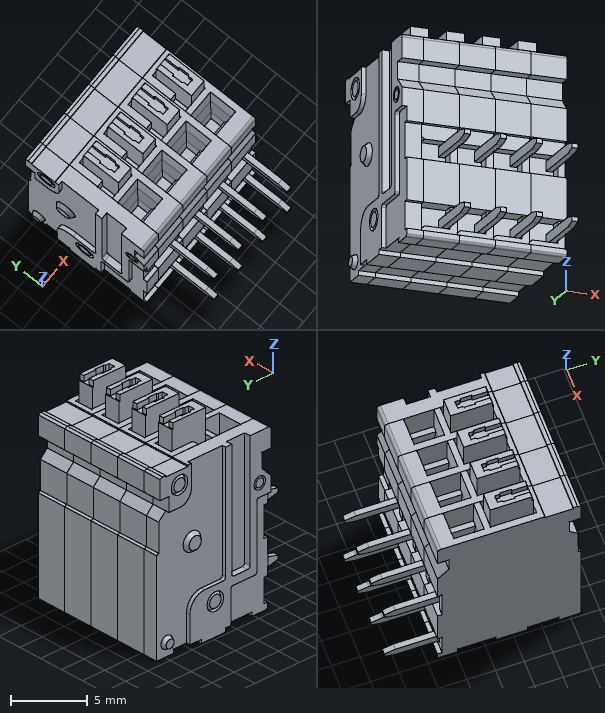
import cadquery as cq
import math

total_length = 11.65
pole_count = 4
pole_pitch = 2.54
end_plate_thickness = total_length - pole_count * pole_pitch
overshoot = 0.8

body_depth = 10.02
body_height = 14.03
top_front_radius = 0.24
bottom_front_radius = 0.18

foot_height = 0.32
front_foot_end = 1.41
middle_foot_start = 4.1
middle_foot_end = 6.29
back_foot_start = 8.47

front_band_depth = 0.32
lower_band_bottom = 0.55
lower_band_top = 2.52
upper_band_bottom = 5.49
upper_band_top = 8.01

rail_notch_depth = 0.8
rail_notch_bottom = 11.1
rail_notch_top = 12.33
front_bevel_bottom = rail_notch_bottom - rail_notch_depth
back_bevel_bottom = 10.48
back_step_depth = 0.2
back_step_bottom = 8.02
back_step_rise = 0.1

label_recess_depth = 0.11
label_recess_front = 7.51
label_recess_back = 9.49
back_lip_bevel_depth = 0.24
back_lip_bevel_drop = 0.1

relief_depth = 0.32
slot_depth = 0.51
relief_floor_level = 3.98
main_relief_front = 4.1
main_relief_top_back = 7.19
main_relief_bottom_back = 7.32
main_relief_front_radius = 0.24
corner_pad_radius = 1.03
lower_pad_radius = 1.35
slot_front = 1.9
slot_back = 3.55
slot_radius = 0.22
front_relief_top = 9.02
front_relief_depth = 1.28
front_relief_step = 3.29
front_relief_bottom_depth = 3.61
front_relief_radius = 0.18

large_stud = (0.74, 0.51)
centre_stud = (0.79, 0.55)
small_stud = (0.51, 0.35)
studs = [
    (8.25, 12.82, large_stud),
    (6.84, 7.85, centre_stud),
    (5.02, 2.71, large_stud),
    (1.03, 10.11, small_stud),
    (9.1, 1.1, small_stud),
]

button_pocket_left = 0.53
pocket_right = 2.05
button_pocket_front = 3.88
button_pocket_back = 7.1
button_pocket_depth = 3.21
side_recess_back = 5.14
side_recess_depth = 1.28

wire_entry_front = 1.32
wire_entry_back = 3.43
wire_entry_depth = 2.25
funnel_left = 0.4
funnel_depth = 1.28
wire_hole_left = 0.66
wire_hole_size = 1.1
wire_hole_front = 2.05
wire_hole_depth = 1.6

pin_pocket_width = 2.0
pin_pocket_height = 1.52
pin_pocket_back = 1.09
pin_pocket_bevel_width = 0.22
pin_pocket_bevel_height = 0.15

pin_left = 1.5
pin_width = 0.43
pin_height = 0.7
pin_tip_height = 0.32
pin_reach = 3.48
pin_taper_start = 2.71
lower_pin_level = 1.43
pin_row_spacing = 5.09

button_left = 0.65
button_width = 1.3
button_top = 16.05
button_back = 6.9
button_step_depth = 0.08
button_step_drop = 0.48
driver_slot_front = 4.55
driver_slot_half_width = 0.25
driver_slot_wide_half_width = 0.35
driver_slot_wide_front = 4.96
driver_slot_wide_back = 5.73
driver_slot_bevel = driver_slot_wide_half_width - driver_slot_half_width


def box(x_range, y_range, z_range):
    """Block spanning the given (low, high) range along each axis."""
    ranges = (x_range, y_range, z_range)
    sizes = [high - low for low, high in ranges]
    corner = tuple(low for low, _ in ranges)
    return cq.Workplane("XY").box(*sizes, centered=False).translate(corner)


def side_prism(corners, x_start, x_length):
    """Extrude a YZ outline along X. Each corner is (y, z) or (y, z, rounding radius)."""
    outline = cq.Workplane("YZ", origin=(x_start, 0, 0))
    started = False
    for index, corner in enumerate(corners):
        point = cq.Vector(corner[0], corner[1])
        if len(corner) == 2:
            outline = outline.lineTo(*corner) if started else outline.moveTo(*corner)
            started = True
            continue
        radius = corner[2]
        previous = corners[index - 1]
        following = corners[(index + 1) % len(corners)]
        to_previous = (cq.Vector(previous[0], previous[1]) - point).normalized()
        to_following = (cq.Vector(following[0], following[1]) - point).normalized()
        half_angle = to_previous.getAngle(to_following) / 2
        setback = radius / math.tan(half_angle)
        bisector = (to_previous + to_following).normalized()
        arc_start = point + to_previous * setback
        arc_middle = point + bisector * (radius / math.sin(half_angle) - radius)
        arc_end = point + to_following * setback
        outline = outline.lineTo(arc_start.x, arc_start.y)
        outline = outline.threePointArc((arc_middle.x, arc_middle.y), (arc_end.x, arc_end.y))
    return outline.close().extrude(x_length)


def body_slice(x_start, x_length):
    """Length of the common side profile."""
    upper_back_wall = body_depth - back_step_depth
    notch_wall = body_depth - rail_notch_depth
    label_floor = body_height - label_recess_depth
    profile = [
        (front_foot_end, 0),
        (front_foot_end, foot_height),
        (middle_foot_start, foot_height),
        (middle_foot_start, 0),
        (middle_foot_end, 0),
        (middle_foot_end, foot_height),
        (back_foot_start, foot_height),
        (back_foot_start, 0),
        (body_depth, 0),
        (body_depth, back_step_bottom),
        (upper_back_wall, back_step_bottom + back_step_rise),
        (upper_back_wall, back_bevel_bottom),
        (notch_wall, rail_notch_bottom),
        (notch_wall, rail_notch_top),
        (body_depth, rail_notch_top),
        (body_depth, body_height - back_lip_bevel_drop),
        (body_depth - back_lip_bevel_depth, body_height),
        (label_recess_back, body_height),
        (label_recess_back, label_floor),
        (label_recess_front, label_floor),
        (label_recess_front, body_height),
        (0, body_height, top_front_radius),
        (0, rail_notch_top),
        (rail_notch_depth, rail_notch_top),
        (rail_notch_depth, rail_notch_bottom),
        (0, front_bevel_bottom),
        (0, upper_band_top),
        (front_band_depth, upper_band_top),
        (front_band_depth, upper_band_bottom),
        (0, upper_band_bottom),
        (0, lower_band_top),
        (front_band_depth, lower_band_top),
        (front_band_depth, lower_band_bottom),
        (0, lower_band_bottom),
        (0, 0, bottom_front_radius),
    ]
    return side_prism(profile, x_start, x_length)


def end_plate_relief():
    """Areas removed from the outer face, which leave the raised pads and ribs."""
    above = body_height + overshoot
    behind = body_depth + overshoot
    main_relief = [
        (main_relief_top_back, above),
        (main_relief_top_back, rail_notch_bottom, corner_pad_radius),
        (behind, rail_notch_bottom),
        (behind, -overshoot),
        (main_relief_bottom_back, -overshoot),
        (main_relief_bottom_back, relief_floor_level, lower_pad_radius),
        (main_relief_front, relief_floor_level, main_relief_front_radius),
        (main_relief_front, above),
    ]
    slot = [
        (slot_back, above),
        (slot_back, relief_floor_level, slot_radius),
        (slot_front, relief_floor_level, slot_radius),
        (slot_front, above),
    ]
    front_relief = [
        (-overshoot, front_relief_top),
        (front_relief_depth, front_relief_top, front_relief_radius),
        (front_relief_depth, front_relief_step, front_relief_radius),
        (front_relief_bottom_depth, front_relief_step, front_relief_radius),
        (front_relief_bottom_depth, -overshoot),
        (-overshoot, -overshoot),
    ]
    relief = side_prism(main_relief, 0, relief_depth)
    relief = relief.union(side_prism(slot, 0, slot_depth))
    return relief.union(side_prism(front_relief, 0, relief_depth))


def make_end_plate():
    plate = body_slice(0, end_plate_thickness).cut(end_plate_relief())
    for y, z, (base_radius, tip_radius) in studs:
        outer_face = cq.Workplane("YZ").center(y, z)
        well = outer_face.circle(base_radius).extrude(relief_depth)
        stud = (
            outer_face.circle(tip_radius)
            .workplane(offset=relief_depth)
            .circle(base_radius)
            .loft()
        )
        plate = plate.cut(well).union(stud)
    return plate


def button_pocket():
    """Pocket that guides the button, with a shallower recess out to the open left side."""
    above = body_height + overshoot
    pocket = box(
        (button_pocket_left, pocket_right),
        (button_pocket_front, button_pocket_back),
        (body_height - button_pocket_depth, above),
    )
    side_recess = box(
        (0, button_pocket_left),
        (button_pocket_front, side_recess_back),
        (body_height - side_recess_depth, above),
    )
    return pocket.union(side_recess)


def wire_entry():
    """Rectangular well that narrows through a funnel into a square wire hole."""
    funnel_top = body_height - wire_entry_depth
    funnel_bottom = funnel_top - funnel_depth
    well = box(
        (0, pocket_right),
        (wire_entry_front, wire_entry_back),
        (funnel_top, body_height + overshoot),
    )
    funnel_mouth_width = pocket_right - funnel_left
    funnel_mouth_depth = wire_entry_back - wire_entry_front
    funnel_mouth_x = funnel_left + funnel_mouth_width / 2
    funnel_mouth_y = wire_entry_front + funnel_mouth_depth / 2
    hole_x = wire_hole_left + wire_hole_size / 2
    hole_y = wire_hole_front + wire_hole_size / 2
    funnel = (
        cq.Workplane("XY", origin=(funnel_mouth_x, funnel_mouth_y, funnel_top))
        .rect(funnel_mouth_width, funnel_mouth_depth)
        .workplane(offset=-funnel_depth)
        .center(hole_x - funnel_mouth_x, hole_y - funnel_mouth_y)
        .rect(wire_hole_size, wire_hole_size)
        .loft()
    )
    wire_hole = box(
        (wire_hole_left, wire_hole_left + wire_hole_size),
        (wire_hole_front, wire_hole_front + wire_hole_size),
        (funnel_bottom - wire_hole_depth, funnel_bottom),
    )
    return well.union(funnel).union(wire_hole)


def pin_pocket(ledge_level, direction):
    """Pocket behind a front band; direction is +1 or -1 for the way it opens from the ledge along Z."""
    far_level = ledge_level + direction * pin_pocket_height
    outline = [
        (0, ledge_level),
        (pin_pocket_width, ledge_level),
        (pin_pocket_width, far_level),
        (pin_pocket_bevel_width, far_level),
        (0, far_level + direction * pin_pocket_bevel_height),
    ]
    band_wall = cq.Workplane("XZ", origin=(0, front_band_depth, 0))
    return band_wall.polyline(outline).close().extrude(front_band_depth - pin_pocket_back)


def solder_pin(level):
    """Flat pin that stands out to the front, tapered in height at its tip."""
    half_height = pin_height / 2
    half_tip = pin_tip_height / 2
    outline = [
        (pin_pocket_back, level - half_height),
        (pin_pocket_back, level + half_height),
        (-pin_taper_start, level + half_height),
        (-pin_reach, level + half_tip),
        (-pin_reach, level - half_tip),
        (-pin_taper_start, level - half_height),
    ]
    return side_prism(outline, pin_left, pin_width)


def make_pole_housing():
    """One pole with its two solder pins, its open left side at X = 0."""
    housing = body_slice(0, pole_pitch)
    housing = housing.cut(button_pocket()).cut(wire_entry())
    housing = housing.cut(pin_pocket(upper_band_bottom, 1))
    housing = housing.cut(pin_pocket(lower_band_top, -1))
    for pin_level in (lower_pin_level, lower_pin_level + pin_row_spacing):
        housing = housing.union(solder_pin(pin_level))
    return housing


def make_button():
    """Push button that reaches down to its pocket's floor, with a screwdriver slot in its top."""
    step_level = button_top - button_step_drop
    step_wall = button_back - button_step_depth
    button_right = button_left + button_width
    button = box(
        (button_left, button_right),
        (button_pocket_front, button_back),
        (body_height - button_pocket_depth, button_top),
    )
    back_step = box(
        (button_left, button_right),
        (step_wall, button_back),
        (step_level, button_top),
    )
    half_outline = [
        (driver_slot_half_width, driver_slot_front),
        (driver_slot_half_width, driver_slot_wide_front - driver_slot_bevel),
        (driver_slot_wide_half_width, driver_slot_wide_front),
        (driver_slot_wide_half_width, driver_slot_wide_back),
        (driver_slot_half_width, driver_slot_wide_back),
        (driver_slot_half_width, step_wall),
    ]
    mirrored_half = [(-x, y) for x, y in reversed(half_outline)]
    driver_slot = (
        cq.Workplane("XY", origin=(button_left + button_width / 2, 0, step_level))
        .polyline(half_outline + mirrored_half)
        .close()
        .extrude(button_step_drop)
    )
    return button.cut(back_step).cut(driver_slot)


end_plate = make_end_plate()
pole_housing = make_pole_housing()
button = make_button()

pole_housings = []
buttons = []
for pole in range(pole_count):
    offset = (end_plate_thickness + pole * pole_pitch, 0, 0)
    pole_housings.append(pole_housing.translate(offset).val())
    buttons.append(button.translate(offset).val())

result = cq.Compound.makeCompound([end_plate.val(), *pole_housings, *buttons])